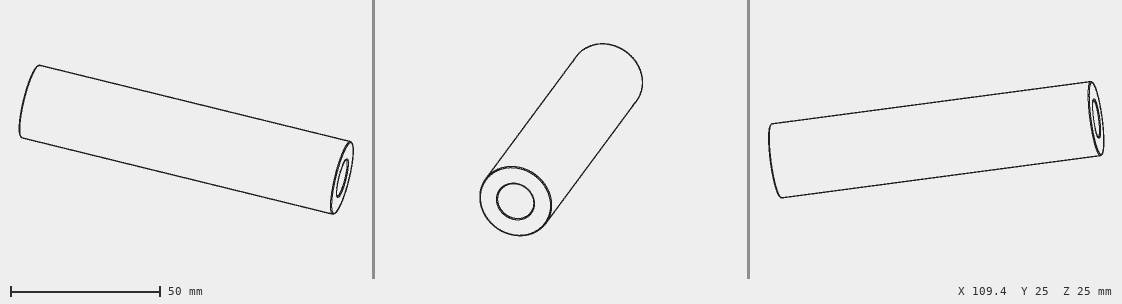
import cadquery as cq

length = 109.4
outer_diameter = 25.0
bore_diameter = 12.6
edge_chamfer = 0.3

tube = (
    cq.Workplane("YZ", origin=(-length / 2, 0, 0))
    .circle(outer_diameter / 2)
    .circle(bore_diameter / 2)
    .extrude(length)
)

result = tube.faces("<X or >X").edges().chamfer(edge_chamfer)